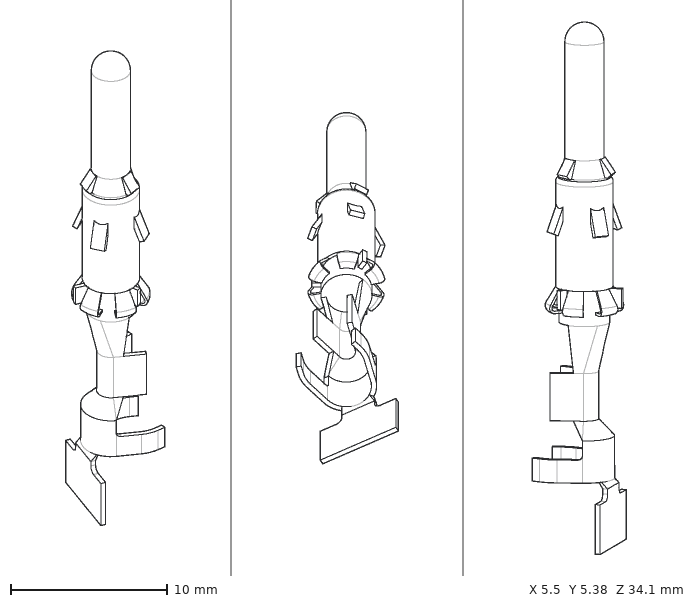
import cadquery as cq
import math


total_height = 34.12
collar_top_z = 25.3
collar_bottom_z = 24.12
barrel_shoulder_z = 23.7
crown_top_z = 16.9
crown_bottom_z = 15.3
neck_bottom_z = 14.57
wire_top_z = 11.35
wire_bottom_z = 8.25
insulation_top_z = 7.15
insulation_wing_top_z = 5.9
insulation_bottom_z = 4.4
tab_bend_z = 4.0
tab_shoulder_z = 3.25

pin_radius = 1.25
collar_radius = 1.6
barrel_radius = 1.85
shoulder_rise = 0.3
shoulder_inner_radius = 1.67
neck_radius = 1.65

rib_count = 3
rib_width = 0.92
rib_outer_radius = 1.95
rib_edge_z = 24.35
rib_foot_radius = 1.7

lance_count = 4
lance_width = 0.95
lance_thickness = 0.35
lance_top_z = 22.15
lance_tip_z = 20.57
lance_tip_radius = 2.45

petal_thickness = 0.17
petal_curl_radius = 0.38
petal_outer_radius = 2.52
petal_count = 6
petal_sweep = 32.0

fin_thickness = 0.3
fin_bottom_z = 15.63
front_fin_radius = 2.55
rear_fin_radius = 2.22
fin_spacing = 120.0

sheet = 0.35
wing_flare = math.radians(14.0)
neck_channel_lip_y = 0.6
neck_channel_split_y = -1.23
wire_radius = 0.92
wire_wing_tip_y = 1.88
wire_channel_lip_y = 0.4
insulation_radius = 1.95
insulation_curl_start_y = 1.13
insulation_curl_radius = 2.4
insulation_wing_tip_y = 2.83
wing_root_fillet = 0.3

tab_width = 5.5
tab_neck_width = 2.4
tab_fillet = 0.4


def polar(radius, angle):
    return (radius * math.cos(angle), radius * math.sin(angle))


def mirror_x(point):
    return (-point[0], point[1])


def at_angle(solid, degrees):
    return solid.rotate((0, 0, 0), (0, 0, 1), degrees)


def radial_plate(points, thickness):
    """Flat plate lying in the plane of Z and +X, outlined by (radius, z) points."""
    return cq.Workplane("XZ").polyline(points).close().extrude(thickness / 2, both=True)


def round_body():
    dome_base_z = total_height - pin_radius
    dome_mid = polar(pin_radius, math.pi / 4)
    shoulder_mid = (
        shoulder_inner_radius + (barrel_radius - shoulder_inner_radius) * math.sin(math.pi / 4),
        barrel_shoulder_z + shoulder_rise * math.cos(math.pi / 4),
    )
    shoulder_top_z = barrel_shoulder_z + shoulder_rise
    return (
        cq.Workplane("XZ")
        .moveTo(0, total_height)
        .threePointArc((dome_mid[0], dome_base_z + dome_mid[1]), (pin_radius, dome_base_z))
        .lineTo(pin_radius, collar_top_z)
        .lineTo(collar_radius, collar_bottom_z)
        .lineTo(shoulder_inner_radius, shoulder_top_z)
        .threePointArc(shoulder_mid, (barrel_radius, barrel_shoulder_z))
        .lineTo(barrel_radius, crown_top_z)
        .lineTo(neck_radius, crown_top_z)
        .lineTo(neck_radius, neck_bottom_z)
        .lineTo(0, neck_bottom_z)
        .close()
        .revolve(360, (0, 0, 0), (0, 1, 0))
    )


def collar_rib():
    root_radius = pin_radius / 2
    return radial_plate(
        [
            (root_radius, collar_top_z),
            (pin_radius, collar_top_z),
            (rib_outer_radius, rib_edge_z),
            (rib_foot_radius, collar_bottom_z),
            (root_radius, collar_bottom_z),
        ],
        rib_width,
    )


def lance():
    lean = math.atan2(lance_tip_radius - barrel_radius, lance_top_z - lance_tip_z)
    root_depth = 2 * lance_thickness
    root = (barrel_radius - root_depth * math.sin(lean), lance_top_z + root_depth * math.cos(lean))
    inward = (-lance_thickness * math.cos(lean), -lance_thickness * math.sin(lean))
    return radial_plate(
        [
            root,
            (lance_tip_radius, lance_tip_z),
            (lance_tip_radius + inward[0], lance_tip_z + inward[1]),
            (root[0] + inward[0], root[1] + inward[1]),
        ],
        lance_width,
    )


def petal():
    """Sheet leaning out from the barrel, then curled under and back to the neck."""
    curl_r = petal_outer_radius - petal_curl_radius
    curl_z = crown_bottom_z + petal_curl_radius
    run, drop = curl_r - barrel_radius, crown_top_z - curl_z
    flank_angle = math.atan2(drop, -run) - math.acos(petal_curl_radius / math.hypot(run, drop))
    mid_angle = (flank_angle - math.pi / 2) / 2
    inner_curl = petal_curl_radius - petal_thickness

    def on_curl(radius, angle):
        dr, dz = polar(radius, angle)
        return (curl_r + dr, curl_z + dz)

    profile = (
        cq.Workplane("XZ")
        .moveTo(barrel_radius, crown_top_z)
        .lineTo(*on_curl(petal_curl_radius, flank_angle))
        .threePointArc(on_curl(petal_curl_radius, mid_angle), (curl_r, crown_bottom_z))
        .lineTo(neck_radius, crown_bottom_z)
        .lineTo(neck_radius, crown_bottom_z + petal_thickness)
        .lineTo(curl_r, crown_bottom_z + petal_thickness)
        .threePointArc(on_curl(inner_curl, mid_angle), on_curl(inner_curl, flank_angle))
        .lineTo(barrel_radius - petal_thickness / math.cos(flank_angle), crown_top_z)
        .close()
    )
    return at_angle(profile.revolve(petal_sweep, (0, 0, 0), (0, 1, 0)), -petal_sweep / 2)


def fin(tip_radius):
    root_radius = neck_radius / 2
    return radial_plate(
        [
            (root_radius, crown_top_z),
            (tip_radius, crown_top_z),
            (tip_radius, fin_bottom_z),
            (root_radius, fin_bottom_z),
        ],
        fin_thickness,
    )


def flared_side(radius, lip_y):
    """Side of a channel from its tangent point on the floor arc up to the lip height."""
    tangent = polar(radius, -wing_flare)
    return tangent, (tangent[0] + (lip_y - tangent[1]) * math.tan(wing_flare), lip_y)


def channel_outline(base, radius, lip_y):
    """Closed outline of a bent sheet: round floor about the Z axis and flared straight sides."""
    outer_tangent, outer_lip = flared_side(radius, lip_y)
    inner_tangent = polar(radius - sheet, -wing_flare)
    inner_lip = (
        outer_lip[0] - sheet * math.cos(wing_flare),
        outer_lip[1] + sheet * math.sin(wing_flare),
    )
    return (
        base.moveTo(*mirror_x(outer_lip))
        .lineTo(*mirror_x(outer_tangent))
        .threePointArc((0, -radius), outer_tangent)
        .lineTo(*outer_lip)
        .lineTo(*inner_lip)
        .lineTo(*inner_tangent)
        .threePointArc((0, sheet - radius), mirror_x(inner_tangent))
        .lineTo(*mirror_x(inner_lip))
        .close()
    )


def neck_outline(base):
    """Open ring matching the neck, split where the flat channel sides begin below it."""
    lip_angle = math.asin(neck_channel_lip_y / neck_radius)
    split_angle = math.asin(neck_channel_split_y / neck_radius)
    side_angle = (lip_angle + split_angle) / 2
    inner_radius = neck_radius - sheet
    outer_lip, outer_side, outer_split = (
        polar(neck_radius, a) for a in (lip_angle, side_angle, split_angle)
    )
    inner_lip, inner_side, inner_split = (
        polar(inner_radius, a) for a in (lip_angle, side_angle, split_angle)
    )
    return (
        base.moveTo(*mirror_x(outer_lip))
        .threePointArc(mirror_x(outer_side), mirror_x(outer_split))
        .threePointArc((0, -neck_radius), outer_split)
        .threePointArc(outer_side, outer_lip)
        .lineTo(*inner_lip)
        .threePointArc(inner_side, inner_split)
        .threePointArc((0, -inner_radius), mirror_x(inner_split))
        .threePointArc(mirror_x(inner_side), mirror_x(inner_lip))
        .close()
    )


def neck_channel():
    lower = channel_outline(cq.Workplane("XY", origin=(0, 0, wire_top_z)), wire_radius, wire_channel_lip_y)
    upper = lower.workplane(offset=neck_bottom_z - wire_top_z)
    return neck_outline(upper).loft(ruled=True)


def wire_crimp():
    base = cq.Workplane("XY", origin=(0, 0, wire_bottom_z))
    return channel_outline(base, wire_radius, wire_wing_tip_y).extrude(wire_top_z - wire_bottom_z)


def middle_channel():
    base = cq.Workplane("XY", origin=(0, 0, insulation_top_z))
    lower = channel_outline(base, insulation_radius, wire_channel_lip_y)
    upper = lower.workplane(offset=wire_bottom_z - insulation_top_z)
    return channel_outline(upper, wire_radius, wire_channel_lip_y).loft(ruled=True)


def insulation_wing():
    """One +X wing tip: the sheet curls inward through twice the flare angle, then runs straight."""
    start = flared_side(insulation_radius, insulation_curl_start_y)[1]
    centre = (
        start[0] - insulation_curl_radius * math.cos(wing_flare),
        start[1] + insulation_curl_radius * math.sin(wing_flare),
    )
    inner_radius = insulation_curl_radius - sheet

    def on_curl(radius, angle):
        dx, dy = polar(radius, angle)
        return (centre[0] + dx, centre[1] + dy)

    curl_end = on_curl(insulation_curl_radius, wing_flare)
    tip_rise = insulation_wing_tip_y - curl_end[1]
    tip = (curl_end[0] - tip_rise * math.tan(wing_flare), insulation_wing_tip_y)
    inner_tip = (tip[0] - sheet * math.cos(wing_flare), tip[1] - sheet * math.sin(wing_flare))
    return (
        cq.Workplane("XY", origin=(0, 0, insulation_bottom_z))
        .moveTo(*start)
        .threePointArc(on_curl(insulation_curl_radius, 0), curl_end)
        .lineTo(*tip)
        .lineTo(*inner_tip)
        .lineTo(*on_curl(inner_radius, wing_flare))
        .threePointArc(on_curl(inner_radius, 0), on_curl(inner_radius, -wing_flare))
        .close()
        .extrude(insulation_wing_top_z - insulation_bottom_z)
    )


def insulation_crimp():
    base = cq.Workplane("XY", origin=(0, 0, insulation_bottom_z))
    channel = channel_outline(base, insulation_radius, insulation_curl_start_y)
    wing = insulation_wing()
    return (
        channel.extrude(insulation_top_z - insulation_bottom_z)
        .union(wing)
        .union(wing.mirror("YZ"))
    )


def lip_relief():
    """Cutter that lowers the channel lips above the insulation wings."""
    lip_y = -insulation_radius * math.sin(wing_flare)
    clear_y = 2 * insulation_wing_tip_y
    fillet_mid = wing_root_fillet * (1 - math.sin(math.pi / 4))
    return (
        cq.Workplane("YZ")
        .moveTo(wire_channel_lip_y, wire_bottom_z)
        .lineTo(lip_y, insulation_top_z)
        .lineTo(lip_y, insulation_wing_top_z + wing_root_fillet)
        .threePointArc(
            (lip_y + fillet_mid, insulation_wing_top_z + fillet_mid),
            (lip_y + wing_root_fillet, insulation_wing_top_z),
        )
        .lineTo(clear_y, insulation_wing_top_z)
        .lineTo(clear_y, wire_bottom_z)
        .close()
        .extrude(tab_width, both=True)
    )


def tab_bend():
    """Short strip easing from the flat tab to the round floor of the insulation crimp."""
    half = tab_neck_width / 2
    inner_y, outer_y = sheet - insulation_radius, -insulation_radius
    edge_angle = -math.acos(half / insulation_radius)
    outer_edge = polar(insulation_radius, edge_angle)
    inner_edge = polar(insulation_radius - sheet, edge_angle)
    return (
        cq.Workplane("XY", origin=(0, 0, tab_bend_z))
        .moveTo(-half, outer_y)
        .lineTo(half, outer_y)
        .lineTo(half, inner_y)
        .lineTo(-half, inner_y)
        .close()
        .workplane(offset=insulation_bottom_z - tab_bend_z)
        .moveTo(*mirror_x(outer_edge))
        .threePointArc((0, outer_y), outer_edge)
        .lineTo(*inner_edge)
        .threePointArc((0, inner_y), mirror_x(inner_edge))
        .close()
        .loft(ruled=True)
    )


def carrier_tab():
    half = tab_width / 2
    neck_half = tab_neck_width / 2
    fillet_top_z = tab_shoulder_z + tab_fillet
    fillet_out = neck_half + tab_fillet
    fillet_mid_x = fillet_out - tab_fillet * math.cos(math.pi / 4)
    fillet_mid_z = fillet_top_z - tab_fillet * math.sin(math.pi / 4)
    return (
        cq.Workplane("XZ", origin=(0, sheet - insulation_radius, 0))
        .moveTo(-half, 0)
        .lineTo(half, 0)
        .lineTo(half, tab_shoulder_z)
        .lineTo(fillet_out, tab_shoulder_z)
        .threePointArc((fillet_mid_x, fillet_mid_z), (neck_half, fillet_top_z))
        .lineTo(neck_half, tab_bend_z)
        .lineTo(-neck_half, tab_bend_z)
        .lineTo(-neck_half, fillet_top_z)
        .threePointArc((-fillet_mid_x, fillet_mid_z), (-fillet_out, tab_shoulder_z))
        .lineTo(-half, tab_shoulder_z)
        .close()
        .extrude(sheet)
    )


front_angle = -90.0

body = round_body()
for i in range(petal_count):
    body = body.union(at_angle(petal(), i * 360 / petal_count))
for i in range(rib_count):
    body = body.union(at_angle(collar_rib(), front_angle + i * 360 / rib_count))
for i in range(lance_count):
    body = body.union(at_angle(lance(), (i + 0.5) * 360 / lance_count))
body = body.union(at_angle(fin(front_fin_radius), front_angle))
for side in (-1, 1):
    body = body.union(at_angle(fin(rear_fin_radius), front_angle + side * fin_spacing))

lower_crimp = middle_channel().union(insulation_crimp()).cut(lip_relief())

result = (
    body.union(neck_channel())
    .union(wire_crimp())
    .union(lower_crimp)
    .union(tab_bend())
    .union(carrier_tab())
)